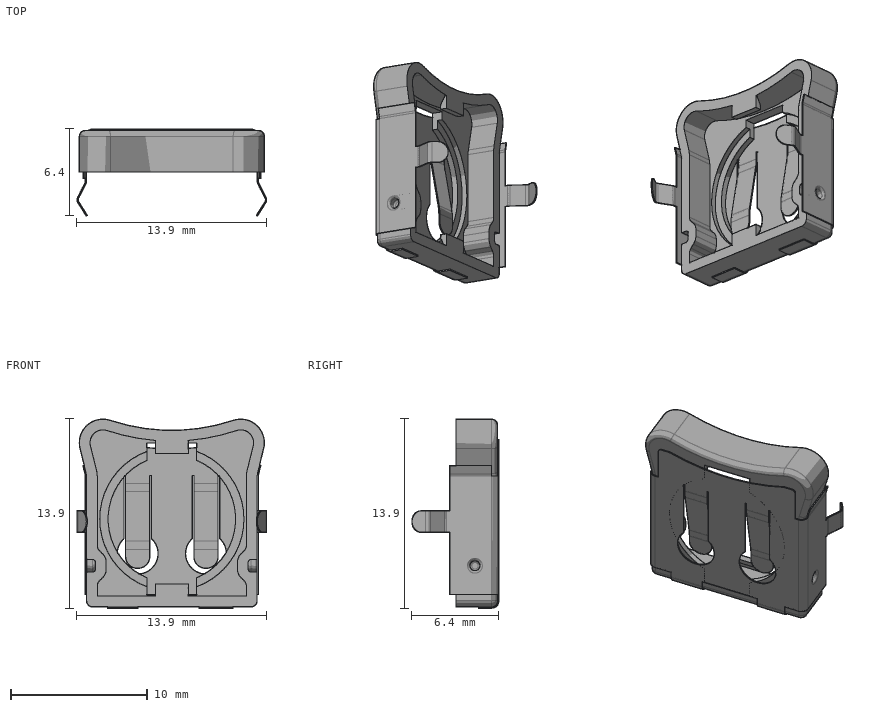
import cadquery as cq
import math


half_width = 6.27
corner_radius = 0.46
ear_x = 5.06
ear_z = 12.06
ear_radius = 1.74
saddle_low_z = 12.98
bend_z = 9.63
bend_radius = 0.7

tray_depth = 3.05
back_fillet = 0.43
wall = 0.8
floor_y = 2.2

opening_z = 6.45
opening_radius = 4.68
ledge_radius = 5.3
ledge_y = 2.6
slot_half_width = 1.83
slot_bottom_z = 0.88
slot_top_z = 12.03

hook_width = 2.43
hook_depth = 0.5
hook_tip_height = 0.32
hook_root_depth = 0.14
lower_hook_tip_z = 1.7
upper_hook_tip_z = 11.26

dimple_y = 1.4
dimple_z = 3.02
dimple_radius = 0.46
dimple_tip_x = 5.6
dimple_tip_round = 0.22
dimple_flare = 0.08
boss_tip_x = 4.82
boss_half_height = 1.27
boss_tip_radius = 0.84
boss_root_radius = 0.56

sheet = 0.1
clip_bottom_z = 0.9
flange_front_y = -0.47
flange_top_z = 10.39
plate_half_width = 5.58
plate_top_z = 12.31
plate_corner_radius = 0.28
plate_saddle_margin = 1.38
bottom_tab_front_y = 1.65
bottom_tab_spans = [(-4.71, -2.48), (2.0, 4.5)]

spring_x = 2.51
spring_width = 1.8
spring_hinge_z = 9.65
spring_bend_zs = (8.77, 4.52)
spring_rise = 0.78
spring_tip_z = 2.83
spring_bend_radius = 3.42
spring_slit = 0.105
spring_eye_z = 3.92
spring_eye_radius = 1.49

terminal_z = 6.27
terminal_width = 1.59
terminal_knee_y = -0.78
terminal_peak = (6.97, -2.06)
terminal_tip = (6.25, -3.22)
terminal_bend_radius = 0.33

round_end_share = 0.98
overlap = 0.14

saddle_drop = saddle_low_z - ear_z
saddle_radius = (ear_x**2 + saddle_drop**2 - ear_radius**2) / (2 * (ear_radius - saddle_drop))
saddle_z = saddle_low_z + saddle_radius
saddle_angle = math.asin(ear_x / (saddle_radius + ear_radius))

bend_x = half_width + bend_radius
lean = (math.asin((bend_radius + ear_radius) / math.hypot(bend_x - ear_x, ear_z - bend_z))
        - math.atan2(bend_x - ear_x, ear_z - bend_z))


def polar(center_x, center_z, radius, angle):
    """Point on a circle in the XZ plane; the angle runs from +X toward +Z."""
    return center_x + radius * math.cos(angle), center_z + radius * math.sin(angle)


def outline_prism(inset, front_y, back_y):
    """Prism between two Y values whose outline is the tray outline moved inward by inset."""
    side = half_width - inset
    ear = ear_radius - inset
    bend = bend_radius + inset
    ear_end = math.pi / 2 + saddle_angle
    right = [
        (side, inset),
        (side, bend_z),
        polar(bend_x, bend_z, bend, math.pi - lean / 2),
        polar(bend_x, bend_z, bend, math.pi - lean),
        polar(ear_x, ear_z, ear, -lean),
        polar(ear_x, ear_z, ear, (ear_end - lean) / 2),
        polar(ear_x, ear_z, ear, ear_end),
    ]
    left = [(-x, z) for x, z in right]
    prism = (
        cq.Workplane("XZ", origin=(0, front_y, 0))
        .moveTo(*right[0])
        .lineTo(*right[1])
        .threePointArc(right[2], right[3])
        .lineTo(*right[4])
        .threePointArc(right[5], right[6])
        .threePointArc((0, saddle_low_z - inset), left[6])
        .threePointArc(left[5], left[4])
        .lineTo(*left[3])
        .threePointArc(left[2], left[1])
        .lineTo(*left[0])
        .close()
        .extrude(front_y - back_y)
    )
    if corner_radius > inset:
        prism = prism.edges("|Y and <Z").fillet(corner_radius - inset)
    return prism


def tray_envelope(growth, front_y):
    """Outer shape of the tray grown by a given amount, with its rounded back edge."""
    envelope = outline_prism(-growth, front_y, tray_depth + growth)
    return envelope.faces(">Y").edges().fillet(back_fillet + growth)


def box(x_span, y_span, z_span):
    """Box between the two given values on each axis."""
    return cq.Workplane("XY").box(
        x_span[1] - x_span[0], y_span[1] - y_span[0], z_span[1] - z_span[0], centered=False
    ).translate((x_span[0], y_span[0], z_span[0]))


def cylinder(x, z, radius, front_y, back_y):
    """Cylinder along Y."""
    return cq.Workplane("XZ", origin=(x, front_y, z)).circle(radius).extrude(front_y - back_y)


def both_sides(shape):
    """The shape together with its mirror image across X = 0."""
    return shape.union(shape.mirror("YZ"))


def dimple_profile(depth_in_sheet):
    """Half profile of the dimple, for a surface that lies the given depth inside the sheet."""
    surface_x = half_width + depth_in_sheet
    radius = dimple_radius - depth_in_sheet
    flare = dimple_flare + depth_in_sheet
    tip_round = dimple_tip_round - depth_in_sheet
    tip_x = dimple_tip_x + depth_in_sheet
    arc_gap = 1 - math.sqrt(0.5)
    return (
        cq.Workplane("XZ", origin=(0, dimple_y, dimple_z))
        .moveTo(tip_x, 0)
        .lineTo(tip_x, radius - tip_round)
        .threePointArc(
            (tip_x + tip_round * arc_gap, radius - tip_round * arc_gap),
            (tip_x + tip_round, radius),
        )
        .lineTo(surface_x - flare, radius)
        .threePointArc(
            (surface_x - flare * arc_gap, radius + flare * arc_gap),
            (surface_x, radius + flare),
        )
        .lineTo(surface_x, 0)
        .close()
    )


def dimple_plug(depth_in_sheet):
    """Solid of revolution under the dimple surface."""
    return dimple_profile(depth_in_sheet).revolve(360, (0, 0, 0), (1, 0, 0))


def dimple_slot():
    """Slot that lets the dimple slide in from the open rim."""
    upper = dimple_profile(0).extrude(dimple_y + overlap)
    lower = upper.mirror("XY", (0, 0, dimple_z))
    return upper.union(lower).union(dimple_plug(0))


def boss():
    """Swelling of the right-hand wall behind the dimple, with 45 degree flanks."""
    wall_x = half_width - wall
    tip_half_height = boss_half_height - (wall_x - boss_tip_x)
    root_half_height = boss_half_height + overlap
    return (
        cq.Workplane("XZ", origin=(0, 0, dimple_z))
        .polyline([
            (wall_x + overlap, -root_half_height),
            (boss_tip_x, -tip_half_height),
            (boss_tip_x, tip_half_height),
            (wall_x + overlap, root_half_height),
        ])
        .close()
        .extrude(-floor_y)
        .edges("|Y and <X")
        .fillet(boss_tip_radius)
    )


def cavity():
    """Space inside the tray, in front of its floor."""
    space = outline_prism(wall, 0, floor_y).cut(both_sides(boss()))
    wall_x = half_width - wall
    for side in (-1, 1):
        for end in (-1, 1):
            x = side * wall_x
            z = dimple_z + end * boss_half_height
            near_root = cq.selectors.BoxSelector(
                (x - overlap, 0, z - overlap), (x + overlap, floor_y, z + overlap)
            )
            space = space.edges("|Y").edges(near_root).fillet(boss_root_radius)
    return space


def floor_opening():
    """Stepped round hole through the floor, crossed by a tall slot."""
    back_y = tray_depth + overlap
    hole = cylinder(0, opening_z, opening_radius, 0, back_y)
    ledge = cylinder(0, opening_z, ledge_radius, floor_y, ledge_y)
    slot = box((-slot_half_width, slot_half_width), (floor_y, back_y), (slot_bottom_z, slot_top_z))
    return hole.union(ledge).union(slot)


def hook(root_z, tip_z):
    """Retaining hook at the rim, undercut toward the wall it stands on."""
    outward = math.copysign(1, root_z - tip_z)
    buried_z = root_z + outward * overlap
    return (
        cq.Workplane("YZ")
        .polyline([
            (0, buried_z),
            (0, tip_z),
            (hook_depth, tip_z),
            (hook_depth, tip_z + outward * hook_tip_height),
            (hook_root_depth, root_z),
            (hook_root_depth, buried_z),
        ])
        .close()
        .extrude(hook_width / 2, both=True)
    )


def make_tray():
    return (
        tray_envelope(0, 0)
        .cut(cavity())
        .cut(floor_opening())
        .union(hook(wall, lower_hook_tip_z))
        .union(hook(saddle_low_z - wall, upper_hook_tip_z))
        .cut(both_sides(dimple_slot()))
    )


def back_plate_region():
    """Region kept for the flat plate, with rounded top corners and a concave top edge."""
    region = box(
        (-plate_half_width, plate_half_width),
        (tray_depth - overlap, tray_depth + sheet),
        (clip_bottom_z, plate_top_z),
    ).edges("|Y and >Z").fillet(plate_corner_radius)
    saddle_cut = cylinder(0, saddle_z, saddle_radius + plate_saddle_margin, 0, tray_depth + overlap)
    return region.cut(saddle_cut)


def flange_region():
    """Region kept for the right-hand flange: the wrapped part and the leaning lip above it."""
    x_span = (plate_half_width - overlap, half_width + ear_radius)
    wrapped = box(x_span, (flange_front_y, tray_depth + sheet), (clip_bottom_z, bend_z))
    lip = box(x_span, (flange_front_y, tray_depth - back_fillet), (bend_z, flange_top_z))
    return wrapped.union(lip)


def wrapped_sheet():
    """Sheet that follows the outside of the tray over the plate, the flanges and the bottom tabs."""
    kept = back_plate_region().union(both_sides(flange_region()))
    for x_span in bottom_tab_spans:
        kept = kept.union(box(x_span, (bottom_tab_front_y, tray_depth + sheet), (-sheet, clip_bottom_z)))
    skin = tray_envelope(sheet, flange_front_y).cut(tray_envelope(0, flange_front_y))
    return skin.intersect(kept)


def bent_strip(points, width_x, width_y, bend):
    """Strip of sheet with a given cross-section, swept along a polyline with rounded bends."""
    polygon = cq.Wire.makePolygon([cq.Vector(*point) for point in points])
    path = polygon.fillet(bend, polygon.Vertices()[1:-1])
    start = cq.Vector(*points[0])
    direction = cq.Vector(*points[1]) - start
    profile_plane = cq.Plane(origin=start, xDir=(1, 0, 0), normal=direction)
    return cq.Workplane(profile_plane).rect(width_x, width_y).sweep(cq.Workplane(obj=path))


def spring():
    """Right-hand contact spring, bent forward from the plate, with a rounded free end."""
    plate_mid_y = tray_depth + sheet / 2
    tip_mid_y = plate_mid_y - spring_rise
    strip = bent_strip(
        [
            (spring_x, plate_mid_y, spring_hinge_z + overlap),
            (spring_x, plate_mid_y, spring_bend_zs[0]),
            (spring_x, tip_mid_y, spring_bend_zs[1]),
            (spring_x, tip_mid_y, spring_tip_z),
        ],
        spring_width, sheet, spring_bend_radius,
    )
    return strip.faces("<Z").edges("|Y").fillet(round_end_share * spring_width / 2)


def spring_window():
    """Opening in the plate around the right-hand spring: two slits ending in a round eye."""
    half = spring_width / 2 + spring_slit
    y_span = (tray_depth - overlap, tray_depth + sheet + overlap)
    slits = box((spring_x - half, spring_x + half), y_span, (spring_eye_z, spring_hinge_z))
    return slits.union(cylinder(spring_x, spring_eye_z, spring_eye_radius, *y_span))


def terminal():
    """Right-hand terminal: a bowed strip that carries on from the flange toward -Y."""
    flange_mid_x = half_width + sheet / 2
    strip = bent_strip(
        [
            (flange_mid_x, flange_front_y + overlap, terminal_z),
            (flange_mid_x, terminal_knee_y, terminal_z),
            (*terminal_peak, terminal_z),
            (*terminal_tip, terminal_z),
        ],
        sheet, terminal_width, terminal_bend_radius,
    )
    return strip.faces("<Y").edges("not(|Z)").fillet(round_end_share * terminal_width / 2)


def make_clip():
    return (
        wrapped_sheet()
        .cut(both_sides(spring_window()))
        .union(both_sides(spring()))
        .union(both_sides(dimple_plug(0)))
        .cut(both_sides(dimple_plug(sheet)))
        .union(both_sides(terminal()))
    )


tray = make_tray()
clip = make_clip()

result = cq.Compound.makeCompound([tray.solids().val(), clip.solids().val()])